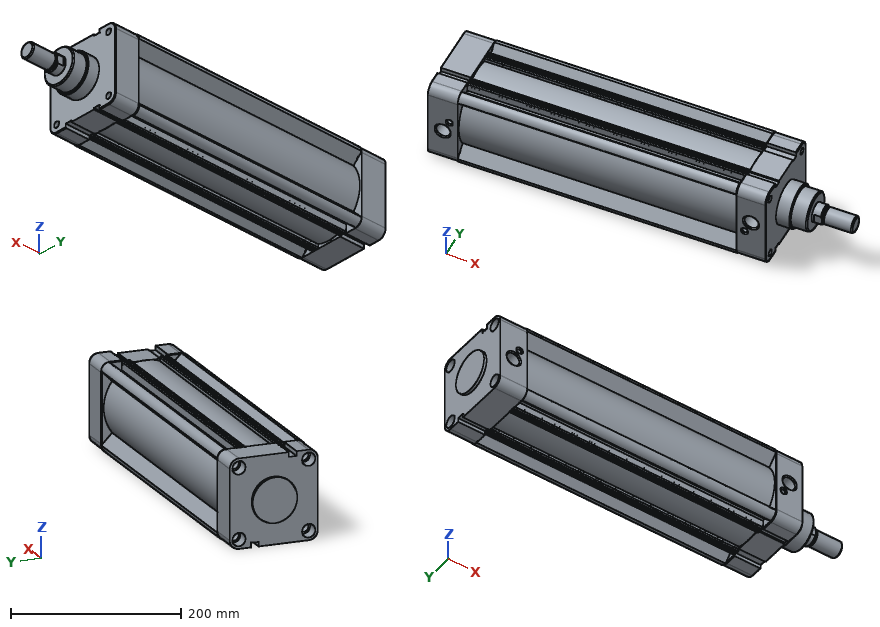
import cadquery as cq
import math


overall_length = 533.0
boss_height = 3.5
cap_length = 39.0
tube_length = 361.0
rear_cap_x = boss_height
tube_x = rear_cap_x + cap_length
front_cap_x = tube_x + tube_length
front_face_x = front_cap_x + cap_length

body_width = 112.0
half_width = body_width / 2
cap_corner_radius = 11.5
front_cap_chamfer = 1.0

barrel_radius = 53.0
lug_corner_radius = 10.0
lug_root_near = 26.5
rail_offset = 24.0
rail_width = 11.0
rail_base = 42.5
rail_top = 55.5
rail_chamfer = 1.5
rail_mouth_width = 4.0
rail_slot_width = 8.0
rail_slot_floor = 49.5
rail_lip = 2.5

cap_slot_width = 9.5
cap_slot_depth = 6.0
front_relief_depth = 3.5

bolt_offset = half_width - cap_corner_radius
bolt_head_diameter = 16.5
bolt_head_depth = 16.0
bolt_clearance_diameter = 12.0
bolt_thread_diameter = 8.5

port_diameter = 18.0
port_chamfer = 1.5
port_depth = half_width
port_z = 7.5
screw_diameter = 6.5
screw_chamfer = 1.5
screw_depth = 10.5
screw_z = 9.5
screw_shift = 8.5

rear_chamber_radius = 15.5
front_chamber_radius = 20.0
rod_sleeve_radius = 15.5
chamber_length = cap_length / 2 + 10.5

boss_radius = 28.0
guide_length = 18.0
guide_chamfer = 1.0
collar_radius = 25.3
collar_length = 21.0
collar_chamfer = 1.5
rod_radius = 12.5
rod_length = 13.0
rod_chamfer = 1.5
rod_flat_width = 22.0
rod_flat_length = 10.0
neck_radius = 9.5
neck_length = 2.0
thread_radius = 10.9
thread_chamfer = 1.5


def section_at(x):
    """YZ sketch plane at position x; extrusions go toward +X."""
    return cq.Workplane("YZ", origin=(x, 0, 0))


def disc(x, length, radius):
    return section_at(x).circle(radius).extrude(length)


def cap_blank(x):
    blank = section_at(x).rect(body_width, body_width).extrude(cap_length)
    return blank.edges("|X").fillet(cap_corner_radius)


def cap_slot(x, y, side):
    """Cutter for a slot in the top (side 1) or bottom (side -1) of a cap."""
    slot = section_at(x).center(y, side * half_width)
    return slot.rect(cap_slot_width, 2 * cap_slot_depth).extrude(cap_length)


def port_cutter(x, z, diameter, chamfer, depth):
    """Blind hole with a chamfered mouth, drilled toward +Y."""
    radius = diameter / 2
    outline = [
        (0, 0),
        (radius + chamfer, 0),
        (radius, chamfer),
        (radius, depth),
        (0, depth),
    ]
    hole = cq.Workplane("XY").polyline(outline).close().revolve(360, (0, 0), (0, 1))
    return hole.translate((x, -half_width, z))


def drill_ports(cap, x, tube_direction):
    """Cut the port and cushion screw; tube_direction is the X sign toward the tube."""
    middle_x = x + cap_length / 2
    port = port_cutter(middle_x, -tube_direction * port_z, port_diameter, port_chamfer, port_depth)
    screw_x = middle_x + tube_direction * screw_shift
    screw = port_cutter(screw_x, tube_direction * screw_z, screw_diameter, screw_chamfer, screw_depth)
    return cap.cut(port).cut(screw)


def make_rear_cap():
    cap = cap_blank(rear_cap_x)
    for side in (1, -1):
        cap = cap.cut(cap_slot(rear_cap_x, -side * rail_offset, side))
    cap = drill_ports(cap, rear_cap_x, 1)
    cap = cap.cut(disc(tube_x - chamber_length, chamber_length, rear_chamber_radius))
    return cap.union(disc(0, boss_height, boss_radius))


def make_front_cap():
    cap = cap_blank(front_cap_x).faces("<X or >X").edges().chamfer(front_cap_chamfer)
    for side in (1, -1):
        for y in (rail_offset, -rail_offset):
            cap = cap.cut(cap_slot(front_cap_x, y, side))
        relief = section_at(front_cap_x).center(0, side * half_width)
        cap = cap.cut(relief.rect(2 * rail_offset, 2 * front_relief_depth).extrude(cap_length))
    cap = drill_ports(cap, front_cap_x, -1)
    chamber = disc(front_cap_x, chamber_length, front_chamber_radius)
    sleeve = disc(front_cap_x, chamber_length, rod_sleeve_radius)
    return cap.cut(chamber).union(sleeve)


def corner_lug():
    """Lug at the +Y +Z corner, with both sides parallel to the corner diagonal."""
    straight_end = half_width - lug_corner_radius
    lug_root_far = half_width - (straight_end - lug_root_near)
    arc_middle = straight_end + lug_corner_radius * math.sqrt(0.5)
    return (
        section_at(tube_x)
        .moveTo(lug_root_near, lug_root_far)
        .lineTo(straight_end, half_width)
        .threePointArc((arc_middle, arc_middle), (half_width, straight_end))
        .lineTo(lug_root_far, lug_root_near)
        .close()
        .extrude(tube_length)
    )


def sensor_rail():
    """Rail with a T-slot open at the top, centred on Y = 0."""
    half_rail = rail_width / 2
    half_slot = rail_slot_width / 2
    half_mouth = rail_mouth_width / 2
    slot_top = rail_top - rail_lip
    outline = [
        (-half_rail, rail_base),
        (half_rail, rail_base),
        (half_rail, rail_top - rail_chamfer),
        (half_rail - rail_chamfer, rail_top),
        (half_mouth, rail_top),
        (half_mouth, slot_top),
        (half_slot, slot_top),
        (half_slot, rail_slot_floor),
        (-half_slot, rail_slot_floor),
        (-half_slot, slot_top),
        (-half_mouth, slot_top),
        (-half_mouth, rail_top),
        (-half_rail + rail_chamfer, rail_top),
        (-half_rail, rail_top - rail_chamfer),
    ]
    return section_at(tube_x).polyline(outline).close().extrude(tube_length)


def make_tube():
    tube = disc(tube_x, tube_length, barrel_radius)
    lug = corner_lug()
    for angle in (0, 90, 180, 270):
        tube = tube.union(lug.rotate((0, 0, 0), (1, 0, 0), angle))
    rail = sensor_rail()
    for angle in (0, 180):
        for y in (rail_offset, -rail_offset):
            tube = tube.union(rail.translate((0, y, 0)).rotate((0, 0, 0), (1, 0, 0), angle))
    return tube


def make_nose_and_rod():
    guide = disc(front_face_x, guide_length, boss_radius).faces(">X").chamfer(guide_chamfer)
    collar_x = front_face_x + guide_length
    collar = disc(collar_x, collar_length, collar_radius).faces(">X").chamfer(collar_chamfer)

    rod_x = collar_x + collar_length
    rod = disc(rod_x, rod_length, rod_radius).faces(">X").chamfer(rod_chamfer)
    rod_end_x = rod_x + rod_length
    flat_x = rod_end_x - rod_flat_length
    flats = section_at(flat_x).rect(rod_flat_width, 2 * rod_radius).extrude(rod_flat_length)
    rod = rod.cut(disc(flat_x, rod_flat_length, 2 * rod_radius).cut(flats))

    thread_x = rod_end_x + neck_length
    neck = disc(rod_end_x, neck_length, neck_radius)
    thread = disc(thread_x, overall_length - thread_x, thread_radius).faces(">X").chamfer(thread_chamfer)
    return guide.union(collar).union(rod).union(neck).union(thread)


def bolt_holes(x, length, diameter):
    spacing = 2 * bolt_offset
    return section_at(x).rarray(spacing, spacing, 2, 2).circle(diameter / 2).extrude(length)


body = make_rear_cap().union(make_tube()).union(make_front_cap()).union(make_nose_and_rod())
body = body.cut(bolt_holes(rear_cap_x, bolt_head_depth, bolt_head_diameter))
body = body.cut(bolt_holes(rear_cap_x, cap_length, bolt_clearance_diameter))
result = body.cut(bolt_holes(tube_x, front_face_x - tube_x, bolt_thread_diameter)).solids()